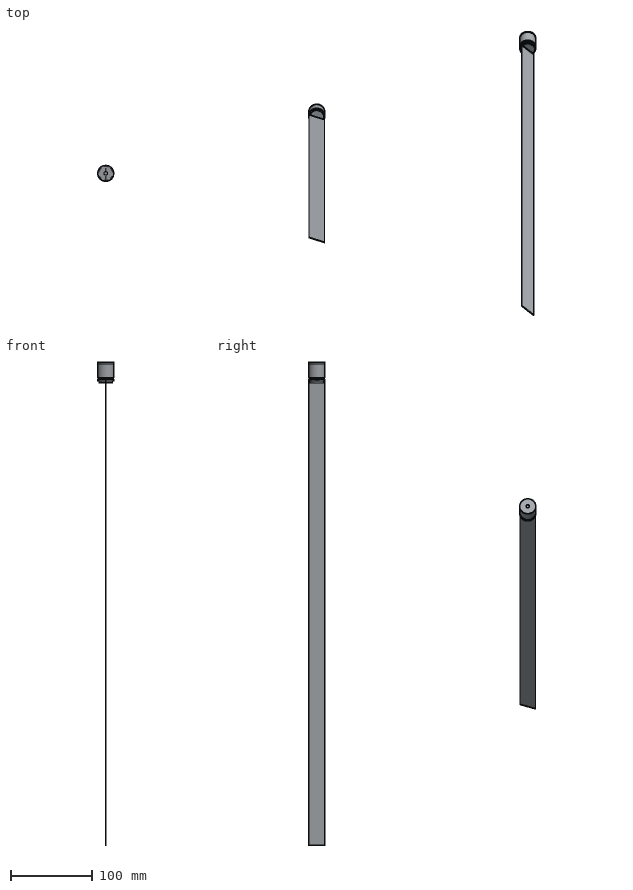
import cadquery as cq
import math

handle_radius = 10.0
handle_height = 25.5
socket_across_flats = 4.0
socket_depth = 2.0

sleeve_top_depth = 2.0
sleeve_bottom_depth = 19.0
sleeve_thickness = 0.3

groove_depth = 1.0
groove_bottom_depth = sleeve_bottom_depth + groove_depth
groove_end_depth = groove_bottom_depth + groove_depth

shoulder_end_depth = 23.0
spigot_radius = 8.5

blade_thickness = 1.0
blade_width = 2 * handle_radius
blade_top_depth = 22.0
overall_length = 594.5


def make_blade():
    return (
        cq.Workplane("XY")
        .workplane(offset=-overall_length)
        .rect(blade_thickness, blade_width)
        .extrude(overall_length - blade_top_depth)
    )


def make_sleeve():
    return (
        cq.Workplane("XY")
        .workplane(offset=-sleeve_bottom_depth)
        .circle(handle_radius)
        .circle(handle_radius - sleeve_thickness)
        .extrude(sleeve_bottom_depth - sleeve_top_depth)
    )


def make_socket():
    """Hexagonal socket in the top face, with two corners on the Y axis."""
    across_corners = socket_across_flats / math.cos(math.radians(30))
    return (
        cq.Workplane("XY")
        .transformed(rotate=(0, 0, 90))
        .polygon(6, across_corners)
        .extrude(-socket_depth)
    )


def make_turned_handle():
    """Round handle with its V-groove, shoulder and spigot, before the other bodies are let in."""
    outline = [
        (0, 0),
        (handle_radius, 0),
        (handle_radius, -sleeve_bottom_depth),
        (handle_radius - groove_depth, -groove_bottom_depth),
        (handle_radius, -groove_end_depth),
        (handle_radius, -shoulder_end_depth),
        (spigot_radius, -shoulder_end_depth),
        (spigot_radius, -handle_height),
        (0, -handle_height),
    ]
    return cq.Workplane("XZ").polyline(outline).close().revolve(360, (0, 0, 0), (0, 1, 0))


blade = make_blade()
sleeve = make_sleeve()
handle = make_turned_handle().cut(make_socket()).cut(sleeve).cut(blade)

result = cq.Compound.makeCompound([handle.solids().val(), sleeve.val(), blade.val()])